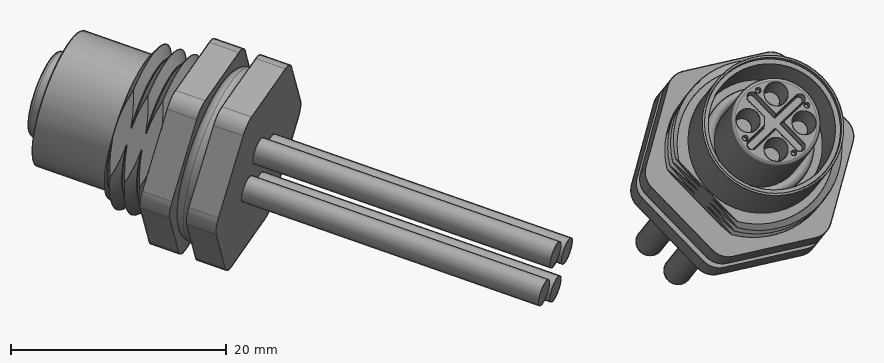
import cadquery as cq
import math

SLEEVE_FRONT = 1.6
THREAD_FRONT = 9.1
NUT_FRONT = 13.9
HEX_THICKNESS = 3.0
SEAL_GAP = 1.7
NUT_REAR = NUT_FRONT + HEX_THICKNESS
FLANGE_FRONT = NUT_REAR + SEAL_GAP
FLANGE_REAR = FLANGE_FRONT + HEX_THICKNESS
TOTAL_LENGTH = 51.6

HEX_ACROSS_FLATS = 18.0
HEX_CORNER_RADIUS = 2.0
HEX_TURN = -15.0

SLEEVE_RADIUS = 6.65
MOUTH_RADIUS = 6.45
MOUTH_DEPTH = 0.6
RECESS_RADIUS = 6.0
RECESS_FLOOR = THREAD_FRONT
THREAD_ROOT_RADIUS = 6.8
THREAD_CREST_RADIUS = 8.0
THREAD_PITCH = 1.5
RIDGE_GAP = 0.03
RIDGE_WIDTH = THREAD_PITCH - RIDGE_GAP
CREST_AT_TOP = 9.65
FLAT_DISTANCE = 6.75
FLAT_TURN = 45.0

SEAL_TUBE_RADIUS = 1.0
SEAL_OUTER_RADIUS = 8.55
SEAL_RING_RADIUS = SEAL_OUTER_RADIUS - SEAL_TUBE_RADIUS
NECK_RADIUS = SEAL_RING_RADIUS - SEAL_TUBE_RADIUS

INSERT_RADIUS = 4.2
INSERT_EDGE_RADIUS = 0.3
BEAD_TUBE_RADIUS = 0.5
BEAD_RING_RADIUS = INSERT_RADIUS + BEAD_TUBE_RADIUS
CONTACT_OFFSET = 2.65
SOCKET_MOUTH_RADIUS = 1.15
SOCKET_FLOOR_RADIUS = 0.9
SOCKET_DEPTH = 3.1
CROSS_ARM_WIDTH = 1.0
CROSS_LENGTH = 7.35
CROSS_DEPTH = 0.75
CROSS_DRAFT = 10.0
KEY_REACH = 1.1
KEY_WIDTH = 1.05
DIMPLE_CIRCLE_RADIUS = 3.35
DIMPLE_RADIUS = 0.25
DIMPLE_START_ANGLE = 60.0
DIMPLE_DEPTH = CROSS_DEPTH

WIRE_RADIUS = 1.3

TRIM_MARGIN = 0.5


def disc(radius, start, end):
    """Solid cylinder along X between two stations."""
    return cq.Workplane("YZ", origin=(start, 0, 0)).circle(radius).extrude(end - start)


def hexagon(start):
    """Hexagonal plate with rounded corners, turned about X."""
    corner_diameter = HEX_ACROSS_FLATS / math.cos(math.radians(30))
    return (
        cq.Workplane("YZ", origin=(start, 0, 0))
        .polygon(6, corner_diameter)
        .extrude(HEX_THICKNESS)
        .edges("|X")
        .fillet(HEX_CORNER_RADIUS)
        .rotate((0, 0, 0), (1, 0, 0), HEX_TURN)
    )


def ring(ring_radius, tube_radius, station):
    """Torus around X, centred at a station."""
    return cq.Workplane(
        obj=cq.Solid.makeTorus(ring_radius, tube_radius, cq.Vector(station, 0, 0), cq.Vector(1, 0, 0))
    )


def thread_ridge():
    """Right-handed V ridge whose crest passes the top (+Z) at CREST_AT_TOP."""
    spare_turns = 2
    start = CREST_AT_TOP - spare_turns * THREAD_PITCH
    height = NUT_FRONT + THREAD_PITCH - start
    sunk = 0.05
    base_radius = THREAD_ROOT_RADIUS - sunk
    path = cq.Workplane(obj=cq.Wire.makeHelix(THREAD_PITCH, height, THREAD_ROOT_RADIUS))
    ridge = (
        cq.Workplane("XZ")
        .polyline([
            (base_radius, -RIDGE_WIDTH / 2),
            (THREAD_CREST_RADIUS, 0),
            (base_radius, RIDGE_WIDTH / 2),
        ])
        .close()
        .sweep(path, isFrenet=True)
    )
    ridge = ridge.rotate((0, 0, 0), (0, 0, 1), 180).rotate((0, 0, 0), (0, 1, 0), 90)
    ridge = ridge.translate((start, 0, 0))
    return ridge.intersect(disc(THREAD_CREST_RADIUS + TRIM_MARGIN, THREAD_FRONT, NUT_FRONT))


def threaded_section():
    """Threaded barrel with two opposite wrench flats."""
    length = NUT_FRONT - THREAD_FRONT
    barrel = disc(THREAD_ROOT_RADIUS, THREAD_FRONT, NUT_FRONT).union(thread_ridge())
    flats = (
        cq.Workplane("XY")
        .box(length, 2 * FLAT_DISTANCE, 2 * (THREAD_CREST_RADIUS + TRIM_MARGIN))
        .translate(((THREAD_FRONT + NUT_FRONT) / 2, 0, 0))
        .rotate((0, 0, 0), (1, 0, 0), -FLAT_TURN)
    )
    return barrel.intersect(flats)


def shell():
    """Sleeve, threaded section, neck and flange, open at the front."""
    sleeve = disc(SLEEVE_RADIUS, SLEEVE_FRONT, THREAD_FRONT)
    recess = disc(RECESS_RADIUS, SLEEVE_FRONT, RECESS_FLOOR)
    mouth = disc(MOUTH_RADIUS, SLEEVE_FRONT, SLEEVE_FRONT + MOUTH_DEPTH)
    neck = disc(NECK_RADIUS, NUT_FRONT, FLANGE_FRONT)
    return sleeve.cut(recess).cut(mouth).union(threaded_section()).union(neck).union(hexagon(FLANGE_FRONT))


def contact_points():
    """Four (Y, Z) places on the contact circle."""
    return [(CONTACT_OFFSET, 0), (0, CONTACT_OFFSET), (-CONTACT_OFFSET, 0), (0, -CONTACT_OFFSET)]


def socket(y, z):
    """Tapered contact socket, to be cut from the insert."""
    return cq.Workplane(
        obj=cq.Solid.makeCone(
            SOCKET_MOUTH_RADIUS, SOCKET_FLOOR_RADIUS, SOCKET_DEPTH, cq.Vector(0, y, z), cq.Vector(1, 0, 0)
        )
    )


def cross_slot():
    """Drafted cross recess, widened on its +Y side by a coding key."""
    face = cq.Workplane("YZ")
    cross = face.center(KEY_REACH / 2, 0).rect(KEY_REACH, KEY_WIDTH).extrude(CROSS_DEPTH)
    for angle in (45, 135):
        arm = face.slot2D(CROSS_LENGTH, CROSS_ARM_WIDTH, angle).extrude(CROSS_DEPTH, taper=CROSS_DRAFT)
        cross = cross.union(arm)
    return cross


def dimples():
    """Four small blind holes near the insert's edge."""
    return (
        cq.Workplane("YZ")
        .polarArray(DIMPLE_CIRCLE_RADIUS, DIMPLE_START_ANGLE, 360, 4)
        .circle(DIMPLE_RADIUS)
        .extrude(DIMPLE_DEPTH)
    )


def insert():
    """Contact carrier with sockets, a cross recess and dimples in its front face."""
    body = disc(INSERT_RADIUS, 0, RECESS_FLOOR).faces("<X").edges().fillet(INSERT_EDGE_RADIUS)
    for y, z in contact_points():
        body = body.cut(socket(y, z))
    return body.cut(cross_slot()).cut(dimples())


def wires():
    """Four leads leaving the rear of the flange."""
    return (
        cq.Workplane("YZ", origin=(FLANGE_REAR, 0, 0))
        .pushPoints(contact_points())
        .circle(WIRE_RADIUS)
        .extrude(TOTAL_LENGTH - FLANGE_REAR)
    )


def make_housing():
    """Shell, insert, bead and leads as one body."""
    bead = ring(BEAD_RING_RADIUS, BEAD_TUBE_RADIUS, RECESS_FLOOR)
    return shell().union(insert()).union(bead).union(wires())


def make_nut():
    """Hexagonal lock nut in front of the seal."""
    return hexagon(NUT_FRONT).cut(disc(NECK_RADIUS, NUT_FRONT, NUT_REAR))


def make_seal():
    """O-ring flattened where it presses on the nut and the flange."""
    squeezed = disc(SEAL_OUTER_RADIUS + TRIM_MARGIN, NUT_REAR, FLANGE_FRONT)
    return ring(SEAL_RING_RADIUS, SEAL_TUBE_RADIUS, NUT_REAR + SEAL_GAP / 2).intersect(squeezed)


housing = make_housing()
nut = make_nut()
seal = make_seal()

result = cq.Compound.makeCompound([housing.solids().val(), nut.solids().val(), seal.solids().val()])